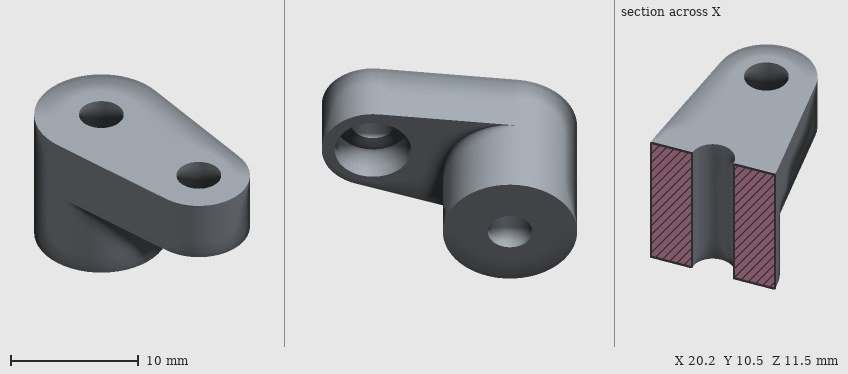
import cadquery as cq
import math

total_length = 20.25
barrel_diameter = 10.5
total_height = 11.5
arm_thickness = 5.0
hole_spacing = 11.0
hole_diameter = 3.5
recess_diameter = 6.0
recess_roof_thickness = 2.0

barrel_radius = barrel_diameter / 2
tip_radius = total_length - barrel_radius - hole_spacing

tangent_angle = math.acos((barrel_radius - tip_radius) / hole_spacing)


def tangent_point(center_x, radius, side):
    """Contact point of an arm side; side is +1 for +Y and -1 for -Y."""
    return (
        center_x + radius * math.cos(tangent_angle),
        side * radius * math.sin(tangent_angle),
    )


def make_arm():
    """Tapered link with a round end at each hole, flush with the barrel top."""
    return (
        cq.Workplane("XY")
        .workplane(offset=total_height - arm_thickness)
        .moveTo(*tangent_point(0, barrel_radius, -1))
        .lineTo(*tangent_point(hole_spacing, tip_radius, -1))
        .threePointArc(
            (hole_spacing + tip_radius, 0),
            tangent_point(hole_spacing, tip_radius, 1),
        )
        .lineTo(*tangent_point(0, barrel_radius, 1))
        .threePointArc((-barrel_radius, 0), tangent_point(0, barrel_radius, -1))
        .close()
        .extrude(arm_thickness)
    )


def make_barrel():
    """Full-height cylinder under the wide end, centered on the Z axis."""
    return cq.Workplane("XY").circle(barrel_radius).extrude(total_height)


def make_holes():
    """Cutters for the two vertical through holes."""
    return (
        cq.Workplane("XY")
        .pushPoints([(0, 0), (hole_spacing, 0)])
        .circle(hole_diameter / 2)
        .extrude(total_height)
    )


def make_tip_recess():
    """Cutter for the wider bore entering the tip hole from under the arm."""
    return (
        cq.Workplane("XY")
        .workplane(offset=total_height - arm_thickness)
        .center(hole_spacing, 0)
        .circle(recess_diameter / 2)
        .extrude(arm_thickness - recess_roof_thickness)
    )


result = make_barrel().union(make_arm()).cut(make_holes()).cut(make_tip_recess())